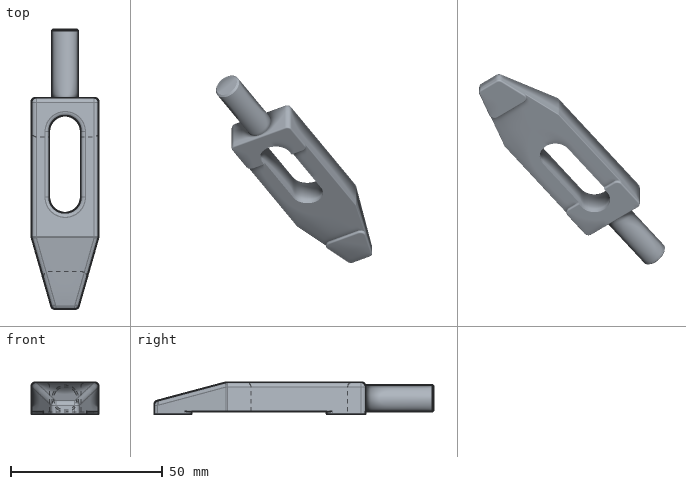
import cadquery as cq
import math

total_length = 92.7
width = 22.3
height = 10.8
body_end = 70.1
taper_length = 24.0
tip_width = 8.6
slope_angle = 15.0
edge_radius = 1.6

pin_diameter = 8.8
pin_height = 5.4
pin_chamfer = 0.6

slot_width = 10.4
slot_length = 32.1
slot_center = 48.0
slot_rim_radius = 1.5

relief_depth = 0.9
relief_edge_radius = 0.3
front_foot_length = 12.5
rear_foot_length = 13.0
foot_corner_radius = 1.9
foot_edge_radius = 0.5

edge_tolerance = 0.1


def make_body():
    """Tapered block with a sloping nose and rounded side and top edges."""
    half_width = width / 2
    half_tip = tip_width / 2
    outline = [
        (-half_tip, 0),
        (half_tip, 0),
        (half_width, taper_length),
        (half_width, body_end),
        (-half_width, body_end),
        (-half_width, taper_length),
    ]
    block = cq.Workplane("XY").polyline(outline).close().extrude(height)
    tip_height = height - taper_length * math.tan(math.radians(slope_angle))
    nose_cut = (
        cq.Workplane("YZ")
        .polyline([(0, tip_height), (taper_length, height), (0, height)])
        .close()
        .extrude(half_width, both=True)
    )
    block = block.cut(nose_cut)
    block = block.edges("|Z").fillet(edge_radius)
    top_rim = block.faces(">Z").edges()
    nose_center = cq.selectors.BoxSelector(
        (-half_tip, edge_radius, edge_radius),
        (half_tip, taper_length - edge_radius, height),
    )
    nose_rim = block.faces(nose_center).edges()
    return block.newObject(top_rim.vals() + nose_rim.vals()).fillet(edge_radius)


def make_pin():
    """Round pin, chamfered at its free end and rooted inside the block."""
    root = body_end - edge_radius
    return (
        cq.Workplane("XZ", origin=(0, total_length, pin_height))
        .circle(pin_diameter / 2)
        .extrude(total_length - root)
        .faces(">Y")
        .chamfer(pin_chamfer)
    )


def cut_relief(body):
    """Cut the recess between the feet, rounding the inner corners and bottom rims of the feet."""
    rear_foot_start = body_end - rear_foot_length
    recess = (
        cq.Workplane("XY", origin=(0, front_foot_length, 0))
        .box(width, rear_foot_start - front_foot_length, relief_depth, centered=(True, False, False))
    )
    body = body.cut(recess)
    inner_corners = cq.selectors.BoxSelector(
        (-width, front_foot_length - edge_tolerance, 0),
        (width, rear_foot_start + edge_tolerance, relief_depth - edge_tolerance),
    )
    body = body.edges("|Z").edges(inner_corners).fillet(foot_corner_radius)
    body = body.faces("<Z").edges().fillet(foot_edge_radius)
    ceiling_edges = cq.selectors.BoxSelector(
        (-width, front_foot_length + foot_corner_radius, relief_depth - edge_tolerance),
        (width, rear_foot_start - foot_corner_radius, relief_depth + edge_tolerance),
    )
    return body.edges(ceiling_edges).fillet(relief_edge_radius)


def cut_slot(body):
    """Cut the vertical slot and round its upper rim."""
    slot = cq.Workplane("XY").center(0, slot_center).slot2D(slot_length, slot_width, 90).extrude(height)
    body = body.cut(slot)
    half_rim = slot_width / 2 + edge_tolerance
    half_length = slot_length / 2 + edge_tolerance
    rim_box = cq.selectors.BoxSelector(
        (-half_rim, slot_center - half_length, height - edge_tolerance),
        (half_rim, slot_center + half_length, height + edge_tolerance),
    )
    return body.edges(rim_box).fillet(slot_rim_radius)


body = make_body()
body = cut_relief(body)
body = cut_slot(body)
result = body.union(make_pin())